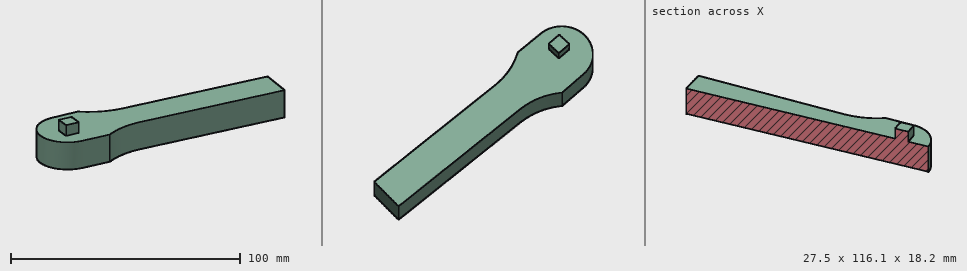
import cadquery as cq
import math

overall_length = 116.1

head_radius = 13.6
body_thickness = 13.1
left_shoulder = (-head_radius, 12.9)
right_shoulder = (13.9, 13.2)

handle_width = 16.0
handle_tilt = math.radians(2.2)
left_neck = (-6.7, 31.4)
neck_radius = 32.0
handle_length = (overall_length - head_radius - left_neck[1]) / math.cos(handle_tilt)

pin_size = 6.4
pin_height = 5.1
pin_center = (2.5, -0.8)


def handle_point(across, along):
    """Point measured from the left neck, across and along the tilted handle."""
    x = left_neck[0] + across * math.cos(handle_tilt) + along * math.sin(handle_tilt)
    y = left_neck[1] - across * math.sin(handle_tilt) + along * math.cos(handle_tilt)
    return (x, y)


def make_body():
    """Flat lever: round head, concave necks and tilted handle."""
    return (
        cq.Workplane("XY")
        .moveTo(-head_radius, 0)
        .threePointArc((0, -head_radius), (head_radius, 0))
        .lineTo(*right_shoulder)
        .radiusArc(handle_point(handle_width, 0), neck_radius)
        .lineTo(*handle_point(handle_width, handle_length))
        .lineTo(*handle_point(0, handle_length))
        .lineTo(*left_neck)
        .radiusArc(left_shoulder, neck_radius)
        .close()
        .extrude(body_thickness)
    )


def make_pin():
    """Square pin rising through the head to above its top face."""
    return (
        cq.Workplane("XY")
        .center(*pin_center)
        .rect(pin_size, pin_size)
        .extrude(body_thickness + pin_height)
    )


result = make_body().union(make_pin())